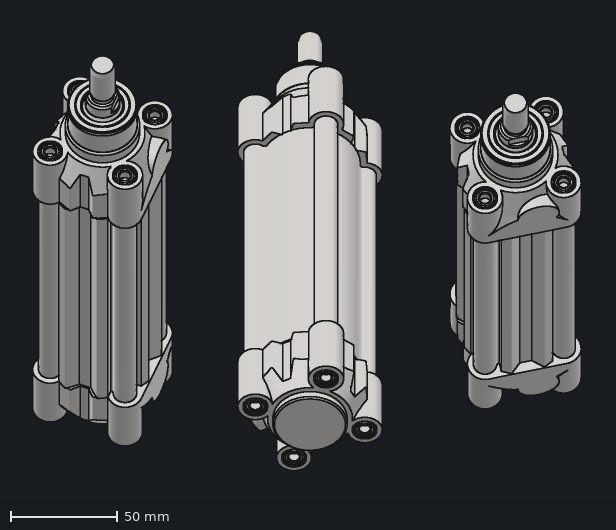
import cadquery as cq
import math


total_height = 263.0
boss_height = 4.2
cap_height = 31.0
barrel_height = 142.5
rear_cap_top = boss_height + cap_height
front_cap_base = rear_cap_top + barrel_height
front_cap_top = front_cap_base + cap_height
collar_step_top = front_cap_top + 6.8
collar_top = front_cap_top + 22.4

bolt_offset = 19.0
cap_width = 54.5
cap_half_width = cap_width / 2
lobe_radius = cap_half_width - bolt_offset
post_radius = 5.5

cap_ridge_outer = (13.0, 23.7)
cap_ridge_peak = (5.8, 26.8)
cap_notch_floor = (2.0, 23.0)
cap_ridge_fillet = 0.8
cone_top_radius = 20.0
cone_slope = 1.8
port_boss_radius = 10.0
port_boss_offset = 5.0
port_boss_depth = 14.2

bolt_recess_diameter = 11.5
bolt_recess_depth = 0.8
bolt_head_diameter = 10.0
bolt_head_top_diameter = 8.5
bolt_socket_rim_diameter = 6.3
bolt_socket_diameter = 5.3
bolt_socket_depth = 5.3
bolt_socket_tip = 1.5

boss_diameter = 35.0
boss_radius = boss_diameter / 2
boss_chamfer = 0.8
collar_radius = 16.3
collar_step_chamfer = 1.0
collar_rim_height = 0.8
collar_rim_chamfer = 0.5
collar_groove_radius = 15.5
collar_groove_base = 2.5

ring_diameter = 26.0
ring_depth = 5.3
ring_chamfer = 0.5
ring_recess_radius = 10.3
ring_recess_depth = 1.0
lip_base_radius = 9.5
lip_top_radius = 8.2
lip_height = 0.5

rod_diameter = 16.0
thread_diameter = 12.0
neck_diameter = 11.0
thread_base = 242.2
shoulder_top = 239.0
shoulder_chamfer = 1.0
thread_chamfer_width = 0.8
thread_chamfer_height = 3.0
thread_base_chamfer = 0.8
flat_width = 13.0
flat_base = 233.8

tube_radius = 23.7
post_fillet = 1.3
barrel_ridge_outer = (12.4, 24.5)
barrel_ridge_peak = (8.0, 26.8)
barrel_ridge_fillet = 1.0
barrel_notch_floor = (3.0, 22.0)

corners = [(x, y) for x in (-bolt_offset, bolt_offset) for y in (-bolt_offset, bolt_offset)]


def turned(points):
    """Solid of revolution about Z from (radius, height) points."""
    return cq.Workplane("XZ").polyline(points).close().revolve(360, (0, 0, 0), (0, 1, 0))


def mirrored(points):
    """Half outline given at +X, followed by its mirror image at -X."""
    return [*points, *[(-x, y) for x, y in reversed(points)]]


def ridged_side(outer, peak, floor, fillet, height, angle):
    """Prism with two ridges and a notch on its +Y side, turned about Z."""
    outline = mirrored([(outer[0], 0), outer, peak, floor])
    side = cq.Workplane("XY").polyline(outline).close().extrude(height)
    for x, y in mirrored([peak]):
        side = side.edges(cq.selectors.NearestToPointSelector((x, y, height / 2))).fillet(fillet)
    return side.rotate((0, 0, 0), (0, 0, 1), angle)


def bolt_recess():
    """Annular recess round a bolt head, and the head's socket, cut down from z = 0."""
    head_base = -bolt_recess_depth
    head_top = head_base / 2
    rim_chamfer = (bolt_socket_rim_diameter - bolt_socket_diameter) / 2
    return turned([
        (bolt_recess_diameter / 2, 0),
        (bolt_recess_diameter / 2, head_base),
        (bolt_head_diameter / 2, head_base),
        (bolt_head_top_diameter / 2, head_top),
        (bolt_socket_rim_diameter / 2, head_top),
        (bolt_socket_diameter / 2, head_top - rim_chamfer),
        (bolt_socket_diameter / 2, head_top - bolt_socket_depth),
        (0, head_top - bolt_socket_depth - bolt_socket_tip),
        (0, 0),
    ])


def cap_blank():
    """Cap from z = 0 at the barrel face up to its outer face."""
    body = cq.Workplane("XY").circle(cone_top_radius).extrude(cap_height)
    for angle in (0, 90, 180):
        side = ridged_side(
            cap_ridge_outer, cap_ridge_peak, cap_notch_floor, cap_ridge_fillet, cap_height, angle
        )
        body = body.union(side)
    port_pad = cq.Workplane("XY").box(
        cap_half_width, 2 * bolt_offset, cap_height, centered=(False, True, False)
    )
    body = body.union(port_pad)

    cone_radius = cap_half_width * math.sqrt(2)
    cone_fall = cone_slope * (cone_radius - cone_top_radius)
    cone = turned([
        (0, 0),
        (cone_radius, 0),
        (cone_radius, cap_height - cone_fall),
        (cone_top_radius, cap_height),
        (0, cap_height),
    ])
    port_boss = (
        cq.Workplane("YZ")
        .center(port_boss_offset, cap_height - port_boss_depth)
        .circle(port_boss_radius)
        .extrude(cap_half_width)
    )
    lobes = cq.Workplane("XY").pushPoints(corners).circle(lobe_radius).extrude(cap_height)
    body = body.intersect(cone).union(port_boss).union(lobes)
    for x, y in corners:
        body = body.cut(bolt_recess().translate((x, y, cap_height)))
    return body


def make_rear_cap():
    boss = cq.Workplane("XY").circle(boss_radius).extrude(boss_height).faces("<Z").chamfer(boss_chamfer)
    return cap_blank().mirror("XY").translate((0, 0, rear_cap_top)).union(boss)


def make_front_cap():
    cap = cap_blank().translate((0, 0, front_cap_base))
    step = (
        cq.Workplane("XY", origin=(0, 0, front_cap_top))
        .circle(boss_radius)
        .extrude(collar_step_top - front_cap_top)
        .faces(">Z")
        .chamfer(collar_step_chamfer)
    )
    collar = turned([
        (0, front_cap_top),
        (collar_radius, front_cap_top),
        (collar_radius, collar_top - collar_groove_base),
        (collar_groove_radius, collar_top - collar_rim_height),
        (collar_radius, collar_top - collar_rim_height),
        (collar_radius, collar_top - collar_rim_chamfer),
        (collar_radius - collar_rim_chamfer, collar_top),
        (0, collar_top),
    ])
    rod_hole = (
        cq.Workplane("XY", origin=(0, 0, front_cap_base))
        .circle(rod_diameter / 2)
        .extrude(collar_top - front_cap_base)
    )
    ring_seat = (
        cq.Workplane("XY", origin=(0, 0, collar_top - ring_depth))
        .circle(ring_diameter / 2)
        .extrude(ring_depth)
    )
    return cap.union(step).union(collar).cut(rod_hole).cut(ring_seat)


def make_wiper_ring():
    return turned([
        (rod_diameter / 2, collar_top - ring_depth),
        (ring_diameter / 2, collar_top - ring_depth),
        (ring_diameter / 2, collar_top - ring_chamfer),
        (ring_diameter / 2 - ring_chamfer, collar_top),
        (ring_recess_radius, collar_top),
        (ring_recess_radius, collar_top - ring_recess_depth),
        (lip_base_radius, collar_top - ring_recess_depth),
        (lip_top_radius, collar_top + lip_height),
        (rod_diameter / 2, collar_top + lip_height),
    ])


def make_rod():
    thread_radius = thread_diameter / 2
    rod_radius = rod_diameter / 2
    rod = turned([
        (0, front_cap_base),
        (rod_radius, front_cap_base),
        (rod_radius, shoulder_top - shoulder_chamfer),
        (rod_radius - shoulder_chamfer, shoulder_top),
        (neck_diameter / 2, shoulder_top),
        (neck_diameter / 2, thread_base - thread_base_chamfer),
        (thread_radius, thread_base),
        (thread_radius, total_height - thread_chamfer_height),
        (thread_radius - thread_chamfer_width, total_height),
        (0, total_height),
    ])
    for side in (-1, 1):
        flat_cut = cq.Workplane("XY").box(
            rod_diameter, rod_diameter, shoulder_top - flat_base, centered=(True, True, False)
        )
        rod = rod.cut(flat_cut.translate((side * (flat_width + rod_diameter) / 2, 0, flat_base)))
    return rod


def barrel_core():
    """Round tube with a corner post at each bolt, blended where the two meet."""
    core = cq.Workplane("XY").circle(tube_radius).extrude(barrel_height)
    core = core.union(cq.Workplane("XY").pushPoints(corners).circle(post_radius).extrude(barrel_height))

    post_distance = bolt_offset * math.sqrt(2)
    half_angle = math.acos(
        (tube_radius**2 + post_distance**2 - post_radius**2) / (2 * tube_radius * post_distance)
    )
    for x, y in corners:
        for side in (-1, 1):
            angle = math.atan2(y, x) + side * half_angle
            corner = (tube_radius * math.cos(angle), tube_radius * math.sin(angle), barrel_height / 2)
            core = core.edges(cq.selectors.NearestToPointSelector(corner)).fillet(post_fillet)
    return core


def make_barrel():
    barrel = barrel_core()
    notch_outline = mirrored([barrel_notch_floor, barrel_ridge_peak])
    notch = cq.Workplane("XY").polyline(notch_outline).close().extrude(barrel_height)
    for angle in (180, 270):
        side = ridged_side(
            barrel_ridge_outer,
            barrel_ridge_peak,
            barrel_notch_floor,
            barrel_ridge_fillet,
            barrel_height,
            angle,
        )
        barrel = barrel.union(side).cut(notch.rotate((0, 0, 0), (0, 0, 1), angle))
    return barrel.translate((0, 0, rear_cap_top))


rear_cap = make_rear_cap()
barrel = make_barrel()
front_cap = make_front_cap()
wiper_ring = make_wiper_ring()
rod = make_rod()

result = cq.Compound.makeCompound([
    rear_cap.val(),
    barrel.val(),
    front_cap.val(),
    wiper_ring.val(),
    rod.val(),
])